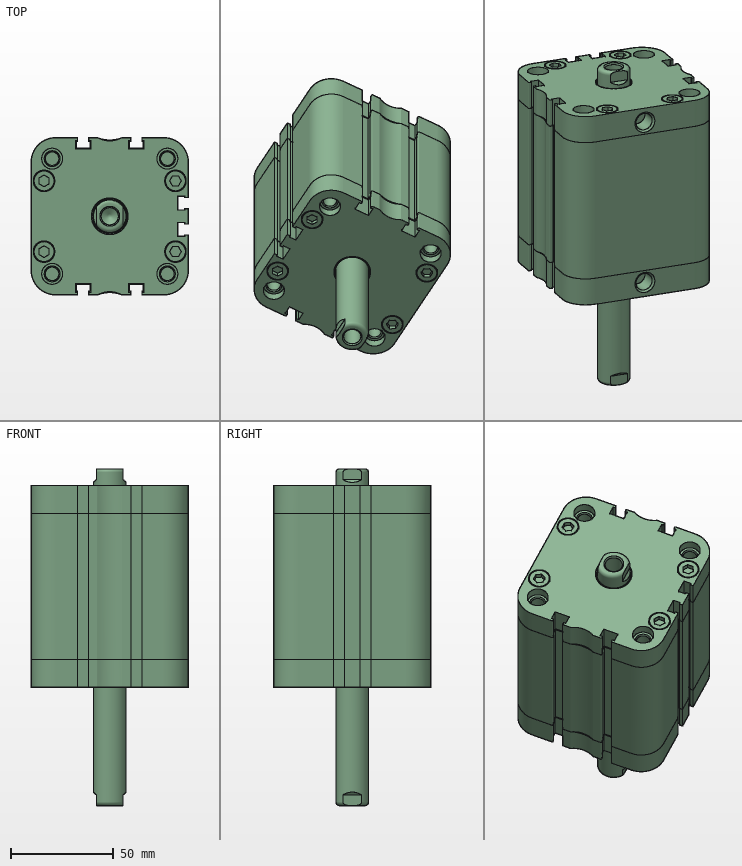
import cadquery as cq
import math


side = 77.0
corner_radius = 12.0
body_height = 99.0
cap_height = 13.7
barrel_height = body_height - 2 * cap_height

hollow_width = 12.0
hollow_depth = 1.2

slot_neck_width = 5.3
slot_neck_depth = 1.8
slot_width = 6.6
slot_depth = 5.1
mouth_round = 0.3
cap_relief = 0.5
rear_cap_relief = 0.2
side_slot_offset = 13.0
rear_slot_offset = 6.5

total_length = 165.0
rod_diameter = 16.0
rod_rise = 8.1
rod_end_round = 1.8
flat_distance = 13.2
flat_height = 5.3
rod_bore_diameter = 8.4
rod_bore_depth = 19.8
rod_bore_mouth = 9.7
rod_bore_tip_slope = math.radians(30)
rod_passage_diameter = 16.5
rod_recess_diameter = 17.7
rod_recess_depth = 0.7
rod_recess_mouth = 18.0

mount_offset = 28.2
mount_counterbore = 10.2
mount_counterbore_depth = 4.8
mount_mouth = 7.8
mount_hole = 6.6

screw_x = 32.2
screw_y = 17.3
screw_recess = 10.5
screw_head = 9.7
screw_head_height = 5.0
screw_socket_flats = 5.0
screw_socket_depth = 2.5
left_socket_turn = 30
right_socket_turn = 0

port_height = 7.5
port_mouth = 10.5
port_diameter = 8.5
port_depth = 9.9


def countersink(mouth, bore):
    """A 45 degree cone frustum that narrows downward from Z = 0."""
    depth = (mouth - bore) / 2
    return cq.Workplane("XY").circle(mouth / 2).workplane(offset=-depth).circle(bore / 2).loft()


def slot_cutter(height, relief):
    """T-slot open toward +Y, with its mouth on the plane Y = 0."""
    neck_depth = slot_neck_depth - relief
    depth = slot_depth + relief
    neck = cq.Workplane("XY").box(slot_neck_width, 2 * depth, height, centered=(True, True, False))
    pocket = (
        cq.Workplane("XY")
        .center(0, -(neck_depth + depth) / 2)
        .box(slot_width + 2 * relief, depth - neck_depth, height, centered=(True, True, False))
    )
    return neck.union(pocket)


def profile_block(height, relief, rear_relief):
    """Rounded square block with the hollows and T-slots, standing on Z = 0."""
    block = cq.Workplane("XY").rect(side, side).extrude(height).edges("|Z").fillet(corner_radius)
    half = side / 2
    hollow = (
        cq.Workplane("XY")
        .moveTo(-hollow_width / 2, half)
        .threePointArc((0, half - hollow_depth - relief), (hollow_width / 2, half))
        .close()
        .extrude(height)
    )
    slot = slot_cutter(height, relief)
    side_cut = hollow
    for x in (-side_slot_offset, side_slot_offset):
        side_cut = side_cut.union(slot.translate((x, half, 0)))
    block = block.cut(side_cut).cut(side_cut.mirror("XZ"))
    rear_slot = slot_cutter(height, rear_relief).rotate((0, 0, 0), (0, 0, 1), -90)
    for y in (-rear_slot_offset, rear_slot_offset):
        block = block.cut(rear_slot.translate((half, y, 0)))

    rim_reach = half - corner_radius - mouth_round
    for y in (-half, half):
        rim = cq.selectors.BoxSelector(
            (-rim_reach, y - mouth_round / 2, 0), (rim_reach, y + mouth_round / 2, height)
        )
        block = block.edges("|Z").edges(rim).fillet(mouth_round)
    return block


def make_barrel():
    """Profiled barrel, bored for the rod."""
    barrel = profile_block(barrel_height, 0, 0)
    barrel = barrel.faces(">Z").workplane(origin=(0, 0, 0)).hole(rod_diameter)
    return barrel.translate((0, 0, cap_height))


def mount_cutter():
    """Counterbored and countersunk hole, entering downward from Z = 0."""
    countersunk = countersink(mount_mouth, mount_hole).translate((0, 0, -mount_counterbore_depth))
    return (
        cq.Workplane("XY")
        .circle(mount_hole / 2)
        .extrude(-cap_height)
        .union(cq.Workplane("XY").circle(mount_counterbore / 2).extrude(-mount_counterbore_depth))
        .union(countersunk)
    )


def screw_cutter(socket_turn):
    """Ring gap around a screw head and the hexagon socket, turned by degrees, in the head."""
    socket_diameter = screw_socket_flats / math.cos(math.pi / 6)
    gap = cq.Workplane("XY").circle(screw_recess / 2).circle(screw_head / 2).extrude(-screw_head_height)
    socket = (
        cq.Workplane("XY").polygon(6, socket_diameter).extrude(-screw_socket_depth)
        .rotate((0, 0, 0), (0, 0, 1), socket_turn)
    )
    return gap.union(socket)


def port_cutter():
    """Countersunk blind hole, entering toward +X from X = 0."""
    bore = cq.Workplane("XY").circle(port_diameter / 2).extrude(-port_depth)
    return bore.union(countersink(port_mouth, port_diameter)).rotate((0, 0, 0), (0, 1, 0), -90)


def make_cap():
    """End cap with its outer face up, at Z = cap_height."""
    cap = profile_block(cap_height, cap_relief, rear_cap_relief)
    cap = cap.faces(">Z").workplane(origin=(0, 0, 0)).cboreHole(
        rod_passage_diameter, rod_recess_diameter, rod_recess_depth
    )
    cap = cap.cut(countersink(rod_recess_mouth, rod_recess_diameter).translate((0, 0, cap_height)))
    mount = mount_cutter()
    for x_sign, socket_turn in ((-1, left_socket_turn), (1, right_socket_turn)):
        screw = screw_cutter(socket_turn)
        for y_sign in (-1, 1):
            cap = cap.cut(mount.translate((x_sign * mount_offset, y_sign * mount_offset, cap_height)))
            cap = cap.cut(screw.translate((x_sign * screw_x, y_sign * screw_y, cap_height)))
    return cap.cut(port_cutter().translate((-side / 2, 0, cap_height - port_height)))


def make_rod():
    """Round rod with two wrench flats and a countersunk blind bore at each end."""
    rod = cq.Workplane("XY").circle(rod_diameter / 2).extrude(total_length)
    rod = rod.faces("<Z or >Z").edges().fillet(rod_end_round)

    shoulder = (rod_diameter - flat_distance) / 2
    flat_cut = (
        cq.Workplane("XZ")
        .moveTo(flat_distance / 2, 0)
        .lineTo(flat_distance / 2, -flat_height)
        .lineTo(rod_diameter / 2, -flat_height - shoulder)
        .lineTo(rod_diameter / 2, 0)
        .close()
        .extrude(rod_diameter / 2, both=True)
    )
    tip_depth = rod_bore_diameter / 2 * math.tan(rod_bore_tip_slope)
    bore = (
        cq.Workplane("XZ")
        .lineTo(rod_bore_diameter / 2, 0)
        .lineTo(rod_bore_diameter / 2, -rod_bore_depth)
        .lineTo(0, -rod_bore_depth - tip_depth)
        .close()
        .revolve(360, (0, 0, 0), (0, 1, 0))
        .union(countersink(rod_bore_mouth, rod_bore_diameter))
    )
    upper_cut = flat_cut.union(flat_cut.mirror("YZ")).union(bore)
    lower_cut = upper_cut.mirror("XY")
    rod = rod.cut(upper_cut.translate((0, 0, total_length))).cut(lower_cut)
    return rod.translate((0, 0, body_height + rod_rise - total_length))


barrel = make_barrel()
upper_cap = make_cap().translate((0, 0, body_height - cap_height))
lower_cap = make_cap().mirror("XY").translate((0, 0, cap_height))
rod = make_rod()

result = cq.Compound.makeCompound([barrel.val(), upper_cap.val(), lower_cap.val(), rod.val()])